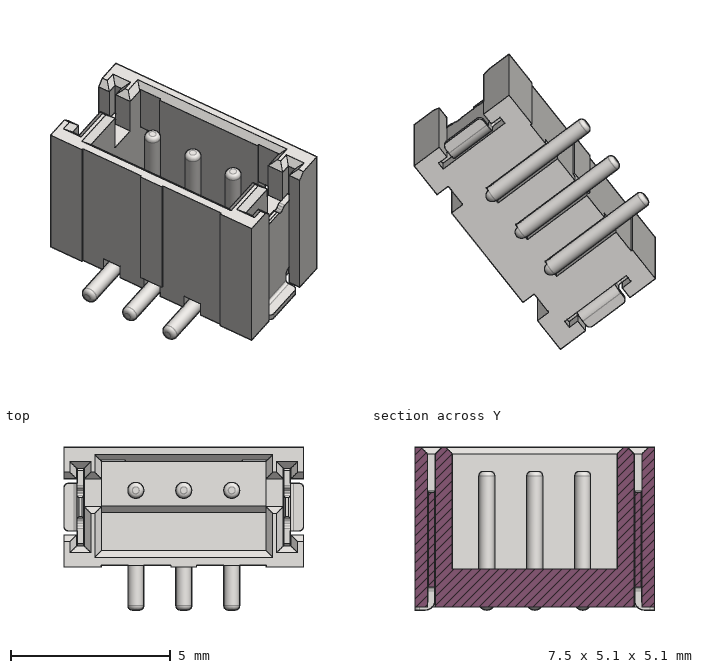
import cadquery as cq

length = 7.5
depth = 3.75
height = 5.0
rim_chamfer = 0.21
below_seat = 0.1

cavity_half_length = 2.57
cavity_front = 0.52
cavity_back = 3.31
front_floor = 1.005
step_foot = 1.71
step_top = 1.905
rear_floor = front_floor + step_top - step_foot

slot_inner = 3.11
slot_width = 0.24
slot_front = 0.66
slot_back = 3.09
slot_length = slot_back - slot_front
slot_outer = slot_inner + slot_width
slot_middle = (slot_front + slot_back) / 2
opening_front = 1.005
opening_back = 2.76
notch_front = 1.89
notch_floor = 3.47

panel_depth = 0.05
rib_width = 0.8
recess_depth = 0.04
recess_inner = 1.83
window_height = 3.15

pin_diameter = 0.5
pin_radius = pin_diameter / 2
pin_pitch = 1.5
pin_positions = [-pin_pitch, 0, pin_pitch]
pin_y = 2.4
pin_top = 4.245
pin_reach = 1.35
pin_tip_round = 0.14
tail_z = pin_radius - below_seat
tail_slot_width = 0.61
tail_slot_height = 0.5

sheet = 0.2
clip_inner = slot_inner + (slot_width - sheet) / 2
clip_outer = clip_inner + sheet
clip_top = 3.63
clip_middle_top = 3.61
clip_middle_half = 0.3
clip_middle_chamfer = 0.05
clip_end_chamfer = 0.075
dip_bottom = 3.5
dip_inner = 0.39
dip_outer = 0.495
dip_end = 0.62
dip_round = 0.075
dip_shoulder_round = 0.11
leg_width = 1.5
leg_top = 0.63
leg_round = 0.13
bend_round = 0.1
foot_corner = 0.15


def block(x0, x1, y0, y1, z0, z1):
    """Axis-aligned box between two corners."""
    box = cq.Workplane("XY").box(x1 - x0, y1 - y0, z1 - z0, centered=False)
    return box.translate((x0, y0, z0))


def both_ends(shape):
    """A shape at +X together with its mirror image at -X."""
    return shape.union(shape.mirror("YZ"))


def make_cavity():
    profile = [
        (cavity_front, height),
        (cavity_front, front_floor),
        (step_foot, front_floor),
        (step_top, rear_floor),
        (cavity_back, rear_floor),
        (cavity_back, height),
    ]
    return cq.Workplane("YZ").polyline(profile).close().extrude(cavity_half_length, both=True)


def make_clip_slots():
    slot = block(slot_inner, slot_outer, slot_front, slot_back, 0, height)
    opening = block(slot_outer, length / 2, opening_front, opening_back, 0, height)
    notch = block(cavity_half_length, slot_inner, notch_front, opening_back, notch_floor, height)
    return both_ends(slot.union(opening).union(notch))


def make_front_relief():
    panels = both_ends(block(rib_width / 2, cavity_half_length, 0, panel_depth, 0, height))
    under_rib = block(-rib_width / 2, rib_width / 2, 0, panel_depth, 0, tail_slot_height)
    return panels.union(under_rib)


def make_back_windows():
    recess = block(recess_inner, cavity_half_length, cavity_back, cavity_back + recess_depth, 0, height)
    window = block(recess_inner, cavity_half_length, cavity_back, depth, 0, window_height)
    return both_ends(recess.union(window))


def make_housing():
    body = block(-length / 2, length / 2, 0, depth, 0, height)
    body = body.cut(make_cavity()).cut(make_clip_slots())
    inner_edges = cq.selectors.BoxSelector(
        (0.075 - length / 2, 0.075, height - 0.075),
        (length / 2 - 0.075, depth - 0.075, height + 0.075),
    )
    body = body.edges(inner_edges).chamfer(rim_chamfer)
    body = body.cut(make_front_relief()).cut(make_back_windows())
    for x in pin_positions:
        half_slot = tail_slot_width / 2
        body = body.cut(block(x - half_slot, x + half_slot, 0, pin_y, 0, tail_slot_height))
    return body


def make_pin(x):
    post = cq.Workplane("XY").circle(pin_radius).extrude(pin_top - tail_z)
    post = post.faces(">Z").edges().fillet(pin_tip_round)
    tail = cq.Workplane("XZ").circle(pin_radius).extrude(pin_y + pin_reach)
    tail = tail.faces("<Y").edges().fillet(pin_tip_round)
    elbow = cq.Workplane("XY").sphere(pin_radius)
    return post.union(tail).union(elbow).translate((x, pin_y, tail_z))


def make_clip_sheet():
    """Upright sheet at +X, with two dips in its top edge and a narrower leg."""
    half_slot = slot_length / 2
    half_leg = leg_width / 2
    right_side = [
        (clip_middle_half, clip_middle_top),
        (dip_inner, dip_bottom),
        (dip_outer, dip_bottom),
        (dip_end, clip_top),
        (half_slot - clip_end_chamfer, clip_top),
        (half_slot, clip_top - clip_end_chamfer),
        (half_slot, leg_top),
        (half_leg, leg_top),
        (half_leg, 0),
    ]
    left_side = [(-y, z) for y, z in reversed(right_side)]
    upright = cq.Workplane("YZ").polyline(right_side + left_side).close().extrude(sheet)
    for side in (-1, 1):
        for y, z, radius in (
            (dip_inner, dip_bottom, dip_round),
            (dip_outer, dip_bottom, dip_round),
            (dip_end, clip_top, dip_shoulder_round),
            (half_leg, leg_top, leg_round),
        ):
            corner = cq.selectors.NearestToPointSelector((sheet / 2, side * y, z))
            upright = upright.edges("|X").edges(corner).fillet(radius)
    middle = cq.selectors.NearestToPointSelector((sheet / 2, 0, clip_middle_top))
    upright = upright.faces(middle).edges("|Y").chamfer(clip_middle_chamfer)
    return upright.translate((clip_inner, slot_middle, 0))


def make_clip_foot():
    """Bend below the leg at +X and the flat foot that points outwards."""
    foot_top = sheet - below_seat
    bend_x = clip_outer + bend_round
    bend_z = foot_top + bend_round
    profile = (
        cq.Workplane("XZ")
        .moveTo(clip_inner, bend_z)
        .radiusArc((bend_x, -below_seat), -(bend_round + sheet))
        .lineTo(length / 2, -below_seat)
        .lineTo(length / 2, foot_top)
        .lineTo(bend_x, foot_top)
        .radiusArc((clip_outer, bend_z), bend_round)
        .close()
    )
    foot = profile.extrude(leg_width / 2, both=True)
    foot = foot.edges("|Z").edges(">X").fillet(foot_corner)
    return foot.translate((0, slot_middle, 0)), bend_z


def make_clip():
    foot, bend_z = make_clip_foot()
    below_bend = block(clip_inner, clip_outer, 0, depth, 0, bend_z)
    return make_clip_sheet().cut(below_bend).union(foot)


result = make_housing().union(both_ends(make_clip()))
for pin_x in pin_positions:
    result = result.union(make_pin(pin_x))